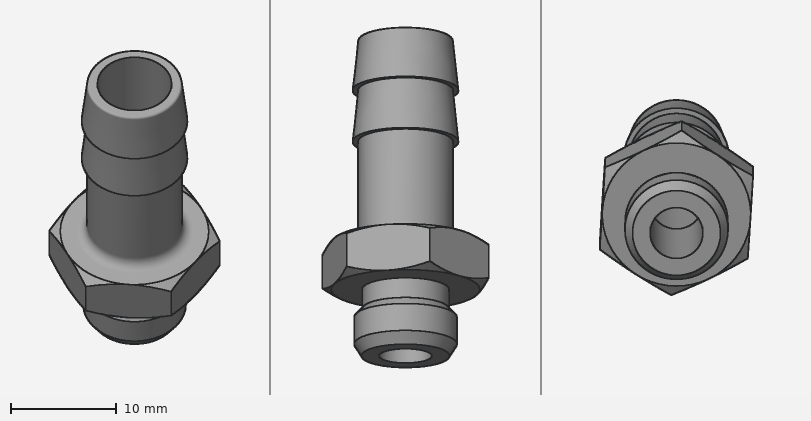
import cadquery as cq
import math

total_height = 31.0
thread_chamfer_top = 1.15
thread_top = 3.78
neck_bottom = 4.6
hex_bottom = 6.5
hex_top = 11.0
lower_barb_bottom = 21.0
upper_barb_bottom = 26.0

thread_diameter = 9.73
thread_tip_diameter = 8.3
neck_diameter = 8.2
tube_diameter = 9.0
barb_diameter = 10.0
hex_across_flats = 14.0

root_fillet = 1.0
tip_round = 0.25
hex_chamfer_angle = 30.0

through_diameter = 5.0
hose_bore_diameter = 7.0
hose_bore_bottom = 11.0
drill_point_angle = 118.0


def make_body():
    """Revolved outside: thread blank, neck, tube with root fillet and two barbs."""
    tube_radius = tube_diameter / 2
    barb_radius = barb_diameter / 2
    fillet_center_r = tube_radius + root_fillet
    fillet_center_z = hex_top + root_fillet
    fillet_offset = root_fillet * math.sqrt(0.5)
    tip_offset = tip_round * math.sqrt(0.5)
    return (
        cq.Workplane("XZ")
        .moveTo(0, 0)
        .lineTo(thread_tip_diameter / 2, 0)
        .lineTo(thread_diameter / 2, thread_chamfer_top)
        .lineTo(thread_diameter / 2, thread_top)
        .lineTo(neck_diameter / 2, neck_bottom)
        .lineTo(neck_diameter / 2, hex_bottom)
        .lineTo(fillet_center_r, hex_bottom)
        .lineTo(fillet_center_r, hex_top)
        .threePointArc(
            (fillet_center_r - fillet_offset, fillet_center_z - fillet_offset),
            (tube_radius, fillet_center_z),
        )
        .lineTo(tube_radius, lower_barb_bottom)
        .lineTo(barb_radius, lower_barb_bottom)
        .lineTo(tube_radius, upper_barb_bottom)
        .lineTo(barb_radius, upper_barb_bottom)
        .lineTo(tube_radius, total_height - tip_round)
        .threePointArc(
            (tube_radius - tip_round + tip_offset, total_height - tip_round + tip_offset),
            (tube_radius - tip_round, total_height),
        )
        .lineTo(0, total_height)
        .close()
        .revolve(360, (0, 0, 0), (0, 1, 0))
    )


def make_hex():
    """Hexagon with corners on the X axis, corners turned down on both faces."""
    flat_radius = hex_across_flats / 2
    corner_radius = flat_radius / math.cos(math.radians(30))
    corner_drop = (corner_radius - flat_radius) * math.tan(math.radians(hex_chamfer_angle))
    prism = (
        cq.Workplane("XY", origin=(0, 0, hex_bottom))
        .polygon(6, 2 * corner_radius)
        .extrude(hex_top - hex_bottom)
    )
    turned_envelope = (
        cq.Workplane("XZ")
        .moveTo(0, hex_bottom)
        .lineTo(flat_radius, hex_bottom)
        .lineTo(corner_radius, hex_bottom + corner_drop)
        .lineTo(corner_radius, hex_top - corner_drop)
        .lineTo(flat_radius, hex_top)
        .lineTo(0, hex_top)
        .close()
        .revolve(360, (0, 0, 0), (0, 1, 0))
    )
    return prism.intersect(turned_envelope)


def make_bore():
    """Through hole widened from the hose end, with a drill-point step."""
    through_radius = through_diameter / 2
    hose_radius = hose_bore_diameter / 2
    cone_height = (hose_radius - through_radius) / math.tan(math.radians(drill_point_angle / 2))
    return (
        cq.Workplane("XZ")
        .moveTo(0, 0)
        .lineTo(through_radius, 0)
        .lineTo(through_radius, hose_bore_bottom - cone_height)
        .lineTo(hose_radius, hose_bore_bottom)
        .lineTo(hose_radius, total_height)
        .lineTo(0, total_height)
        .close()
        .revolve(360, (0, 0, 0), (0, 1, 0))
    )


result = make_body().union(make_hex()).cut(make_bore())